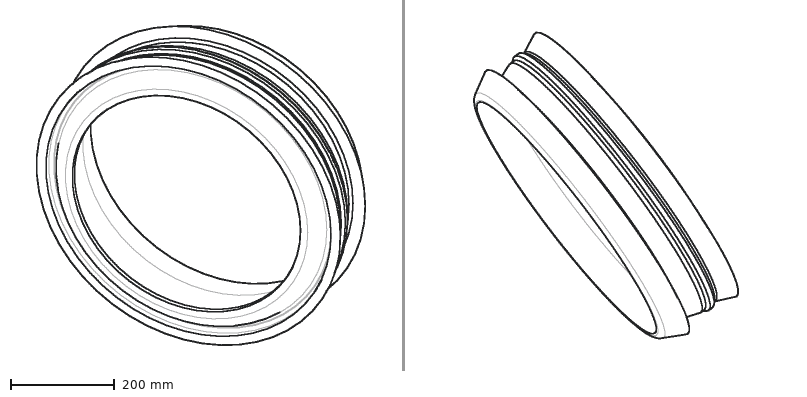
import cadquery as cq
import math

width = 180.0
front_y = -width / 2
back_y = width / 2

flange_radius = 640.0 / 2
seat_radius = 605.0 / 2
ridge_radius = 617.0 / 2
neck_radius = 288.5
neck_top_radius = 294.0
back_edge_radius = 297.0

lip_bore_radius = 480.0 / 2
bore_radius = 540.0 / 2
back_bore_radius = 560.0 / 2

front_flange_setback = 10.0
front_cone_length = 38.5
front_seat_length = 5.5
ridge_width = 10.0
back_seat_length = 9.0
ridge_chamfer = ridge_radius - seat_radius
front_flange_y = front_y + front_flange_setback
front_cone_end_y = front_flange_y + front_cone_length
front_seat_end_y = front_cone_end_y + front_seat_length
ridge_front_y = front_seat_end_y + ridge_chamfer
ridge_back_y = ridge_front_y + ridge_width
back_seat_start_y = ridge_back_y + ridge_chamfer
back_seat_end_y = back_seat_start_y + back_seat_length

back_flange_width = 50.0
neck_step_length = 6.5
back_rounding_depth = 7.5
back_flange_y = back_y - back_flange_width
neck_y = back_flange_y - neck_step_length
back_edge_y = back_y - back_rounding_depth
back_cone_angle = math.atan2(flange_radius - back_edge_radius, back_edge_y - back_flange_y)
back_rounding = back_rounding_depth / (1 - math.sin(back_cone_angle))
back_face_radius = back_edge_radius - back_rounding * math.cos(back_cone_angle)

hub_rounding = 30.0
hub_wall = 15.0
lip_thickness = 10.0
lip_face_radius = bore_radius + hub_wall - hub_rounding
lip_back_y = front_y + lip_thickness
hollow_rounding = bore_radius - lip_bore_radius
bore_start_y = lip_back_y + hollow_rounding
bore_taper_length = 62.0
bore_taper_y = back_y - bore_taper_length

groove_outer_radius = 600.0 / 2
groove_floor_y = front_y + hub_rounding
groove_fillet = 7.0
groove_hub_angle = -math.degrees(math.asin(groove_fillet / (hub_rounding + groove_fillet)))

OUTWARD = 0
BACKWARD = 90
INWARD = 180
FORWARD = -90


def arc_point(center, rounding, degrees):
    """Point on a circle in the profile plane, given as (radius from the axis, Y)."""
    angle = math.radians(degrees)
    return (center[0] + rounding * math.cos(angle), center[1] + rounding * math.sin(angle))


def add_arc(outline, center, rounding, start_degrees, end_degrees):
    """Continue the outline along a circle from one direction to another."""
    middle_degrees = (start_degrees + end_degrees) / 2
    return outline.threePointArc(
        arc_point(center, rounding, middle_degrees),
        arc_point(center, rounding, end_degrees),
    )


def add_hub_and_groove(outline):
    """Front lip face, rounded hub shoulder and groove, out to the front flange face."""
    hub_center = (lip_face_radius, front_y + hub_rounding)
    inner_center = arc_point(hub_center, hub_rounding + groove_fillet, groove_hub_angle)
    outer_center = (groove_outer_radius - groove_fillet, groove_floor_y - groove_fillet)
    outline = outline.lineTo(lip_face_radius, front_y)
    outline = add_arc(outline, hub_center, hub_rounding, FORWARD, groove_hub_angle)
    outline = add_arc(outline, inner_center, groove_fillet, INWARD + groove_hub_angle, BACKWARD)
    outline = outline.lineTo(outer_center[0], groove_floor_y)
    outline = add_arc(outline, outer_center, groove_fillet, BACKWARD, OUTWARD)
    return outline.lineTo(groove_outer_radius, front_flange_y)


def add_front_flange_and_ridge(outline):
    """Conical front flange, then the seat with its chamfered ridge."""
    return (
        outline.lineTo(flange_radius, front_flange_y)
        .lineTo(seat_radius, front_cone_end_y)
        .lineTo(seat_radius, front_seat_end_y)
        .lineTo(ridge_radius, ridge_front_y)
        .lineTo(ridge_radius, ridge_back_y)
        .lineTo(seat_radius, back_seat_start_y)
        .lineTo(seat_radius, back_seat_end_y)
    )


def add_neck_and_back_flange(outline):
    """Neck cone, conical back flange and its rounded back edge."""
    outline = (
        outline.lineTo(neck_radius, neck_y)
        .lineTo(neck_top_radius, back_flange_y)
        .lineTo(flange_radius, back_flange_y)
        .lineTo(back_edge_radius, back_edge_y)
    )
    center = (back_face_radius, back_y - back_rounding)
    return add_arc(outline, center, back_rounding, math.degrees(back_cone_angle), BACKWARD)


def add_bore(outline):
    """Tapered back bore, straight bore and the rounded hollow behind the front lip."""
    outline = (
        outline.lineTo(back_bore_radius, back_y)
        .lineTo(bore_radius, bore_taper_y)
        .lineTo(bore_radius, bore_start_y)
    )
    return add_arc(outline, (lip_bore_radius, bore_start_y), hollow_rounding, OUTWARD, FORWARD)


profile = cq.Workplane("XY").moveTo(lip_bore_radius, front_y)
profile = add_hub_and_groove(profile)
profile = add_front_flange_and_ridge(profile)
profile = add_neck_and_back_flange(profile)
profile = add_bore(profile).close()

result = profile.revolve(360, (0, 0, 0), (0, 1, 0))